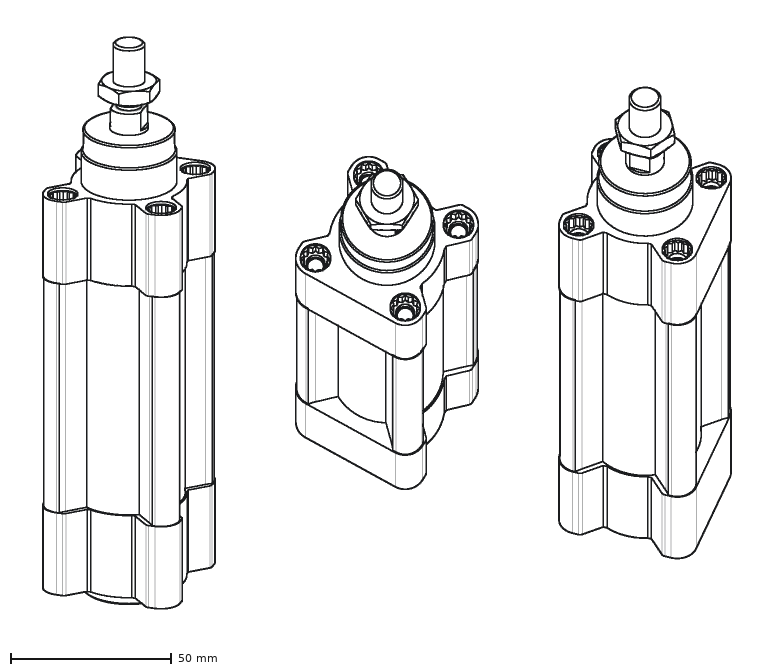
import cadquery as cq
import math

TOTAL_HEIGHT = 185.1
BOSS_HEIGHT = 3.9
CAP_LENGTH = 28.0
TUBE_LENGTH = 78.1
COLLAR_LENGTH = 10.7
NOSE_LENGTH = 7.4
REAR_CAP_TOP = BOSS_HEIGHT + CAP_LENGTH
TUBE_TOP = REAR_CAP_TOP + TUBE_LENGTH
FRONT_CAP_TOP = TUBE_TOP + CAP_LENGTH
COLLAR_TOP = FRONT_CAP_TOP + COLLAR_LENGTH
NOSE_TOP = COLLAR_TOP + NOSE_LENGTH

CAP_WIDTH = 45.0
CAP_CORE_RADIUS = 18.1
CAP_RECESS = 16.8
CAP_FLANK_OFFSET = 8.9
LOBE_EDGE_FILLET = 1.5
SCREW_SPACING = 32.5

TUBE_WIDTH = 44.5
TUBE_CORE_RADIUS = 17.5
TUBE_FLANK_START = 8.7
TUBE_FLANK_END = 13.9
TUBE_LOBE_EDGE = 15.4

BOSS_DIAMETER = 30.0
NOSE_DIAMETER = 28.9
NOSE_WAIST_DIAMETER = 28.5
EDGE_CHAMFER = 0.5

COUNTERBORE_DIAMETER = 9.5
COUNTERBORE_DEPTH = 1.0
SOCKET_TIP_DIAMETER = 8.9
SOCKET_ROOT_DIAMETER = 7.4
SOCKET_POINTS = 12
SOCKET_DEPTH = 5.0
THREAD_HOLE_DIAMETER = 6.0
THREAD_HOLE_DEPTH = 1.9
DRILL_DIAMETER = 5.0
DRILL_TIP_DEPTH = 1.3

ROD_DIAMETER = 12.0
ROD_SHOULDER = 163.6
ROD_CHAMFER = 0.4
ROD_TOP_DIAMETER = 9.0
WRENCH_WIDTH = 10.0
WRENCH_BOTTOM = 157.1
THREAD_DIAMETER = 10.0
THREAD_CHAMFER = 0.7
THREAD_RUNOUT_DIAMETER = 8.9
NECK_DIAMETER = 8.0
NECK_TOP = 165.0

NUT_WIDTH = 17.0
NUT_BOTTOM = 167.1
NUT_HEIGHT = 5.0
NUT_CHAMFER_ANGLE = 25.0


def cut_between_lobes(block, half_notch, sides):
    """Cut the gap between two lobes on each side; half_notch is its +X half on the -Y side."""
    notch = half_notch.union(half_notch.mirror("YZ"))
    for angle in sides:
        block = block.cut(notch.rotate((0, 0, 0), (0, 0, 1), angle))
    return block


def square_block(width, length):
    """Square block with corners rounded about the screw axes."""
    corner_radius = (width - SCREW_SPACING) / 2
    return cq.Workplane("XY").rect(width, width).extrude(length).edges("|Z").fillet(corner_radius)


def build_cap(bottom):
    half = CAP_WIDTH / 2
    flank_outer_x = half - CAP_FLANK_OFFSET
    half_notch = (
        cq.Workplane("XY")
        .polyline([
            (0, -half),
            (flank_outer_x, -half),
            (CAP_RECESS - CAP_FLANK_OFFSET, -CAP_RECESS),
            (0, -CAP_RECESS),
        ])
        .close()
        .extrude(CAP_LENGTH)
    )
    block = cut_between_lobes(square_block(CAP_WIDTH, CAP_LENGTH), half_notch, (0, 90, -90))
    flank_edges = [
        (sign * x, y)
        for sign in (-1, 1)
        for x, y in ((flank_outer_x, -half), (half, -flank_outer_x), (half, flank_outer_x))
    ]
    for x, y in flank_edges:
        block = block.edges(cq.NearestToPointSelector((x, y, CAP_LENGTH / 2))).fillet(LOBE_EDGE_FILLET)
    core = cq.Workplane("XY").circle(CAP_CORE_RADIUS).extrude(CAP_LENGTH)
    return block.union(core).translate((0, 0, bottom))


def build_tube():
    half = TUBE_WIDTH / 2
    core_meeting_y = math.sqrt(TUBE_CORE_RADIUS**2 - TUBE_FLANK_START**2)
    flank_end_y = -core_meeting_y - (TUBE_FLANK_END - TUBE_FLANK_START)
    half_notch = (
        cq.Workplane("XY")
        .moveTo(0, -core_meeting_y)
        .lineTo(TUBE_FLANK_START, -core_meeting_y)
        .lineTo(TUBE_FLANK_END, flank_end_y)
        .tangentArcPoint((TUBE_LOBE_EDGE, -half), relative=False)
        .lineTo(0, -half)
        .close()
        .extrude(TUBE_LENGTH)
    )
    block = cut_between_lobes(square_block(TUBE_WIDTH, TUBE_LENGTH), half_notch, (0, 90, 180, -90))
    core = cq.Workplane("XY").circle(TUBE_CORE_RADIUS).extrude(TUBE_LENGTH)
    return block.union(core).translate((0, 0, REAR_CAP_TOP))


def build_rear_boss():
    boss = cq.Workplane("XY").circle(BOSS_DIAMETER / 2).extrude(BOSS_HEIGHT)
    return boss.faces("<Z").edges().chamfer(EDGE_CHAMFER)


def build_collar():
    """Collar with a slightly hollow nose on top, turned about the Z axis."""
    collar_radius = BOSS_DIAMETER / 2
    nose_radius = NOSE_DIAMETER / 2
    nose_edge = NOSE_TOP - EDGE_CHAMFER
    profile = (
        cq.Workplane("XZ")
        .moveTo(0, FRONT_CAP_TOP)
        .lineTo(collar_radius, FRONT_CAP_TOP)
        .lineTo(collar_radius, COLLAR_TOP - EDGE_CHAMFER)
        .lineTo(nose_radius, COLLAR_TOP)
        .threePointArc((NOSE_WAIST_DIAMETER / 2, (COLLAR_TOP + nose_edge) / 2), (nose_radius, nose_edge))
        .lineTo(nose_radius - EDGE_CHAMFER, NOSE_TOP)
        .lineTo(0, NOSE_TOP)
        .close()
    )
    return profile.revolve(360, (0, 0, 0), (0, 1, 0))


def socket_star():
    """Twelve-pointed socket outline, alternating between tips and roots."""
    points = []
    for i in range(2 * SOCKET_POINTS):
        radius = (SOCKET_TIP_DIAMETER if i % 2 == 0 else SOCKET_ROOT_DIAMETER) / 2
        angle = math.pi * i / SOCKET_POINTS
        points.append((radius * math.cos(angle), radius * math.sin(angle)))
    return points


def build_screw_recess():
    """Recess of one corner screw, from the counterbore to the drill tip, with the cap face at Z = 0."""
    counterbore = cq.Workplane("XY").circle(COUNTERBORE_DIAMETER / 2).extrude(-COUNTERBORE_DEPTH)
    socket = cq.Workplane("XY").polyline(socket_star()).close().extrude(-SOCKET_DEPTH)
    thread_bottom = -SOCKET_DEPTH - THREAD_HOLE_DEPTH
    thread_hole = cq.Workplane("XY").circle(THREAD_HOLE_DIAMETER / 2).extrude(thread_bottom)
    tip = cq.Solid.makeCone(
        DRILL_DIAMETER / 2, 0, DRILL_TIP_DEPTH, pnt=cq.Vector(0, 0, thread_bottom), dir=cq.Vector(0, 0, -1)
    )
    return counterbore.union(socket).union(thread_hole).union(cq.Workplane(tip))


def build_housing():
    housing = build_cap(BOSS_HEIGHT)
    for section in (build_tube(), build_cap(TUBE_TOP), build_rear_boss(), build_collar()):
        housing = housing.union(section)
    recess = build_screw_recess()
    for x in (-SCREW_SPACING / 2, SCREW_SPACING / 2):
        for y in (-SCREW_SPACING / 2, SCREW_SPACING / 2):
            housing = housing.cut(recess.translate((x, y, FRONT_CAP_TOP)))
    return housing


def build_rod():
    """Piston rod standing on the nose, with two wrench flats, a neck and a threaded end."""
    rod_radius = ROD_DIAMETER / 2
    neck_radius = NECK_DIAMETER / 2
    thread_radius = THREAD_DIAMETER / 2
    rod = (
        cq.Workplane("XZ")
        .moveTo(0, NOSE_TOP)
        .lineTo(rod_radius, NOSE_TOP)
        .lineTo(rod_radius, ROD_SHOULDER - ROD_CHAMFER)
        .lineTo(ROD_TOP_DIAMETER / 2, ROD_SHOULDER)
        .lineTo(neck_radius, ROD_SHOULDER)
        .lineTo(neck_radius, NECK_TOP)
        .lineTo(THREAD_RUNOUT_DIAMETER / 2, NECK_TOP)
        .lineTo(thread_radius, NUT_BOTTOM)
        .lineTo(thread_radius, TOTAL_HEIGHT - THREAD_CHAMFER)
        .lineTo(thread_radius - THREAD_CHAMFER, TOTAL_HEIGHT)
        .lineTo(0, TOTAL_HEIGHT)
        .close()
        .revolve(360, (0, 0, 0), (0, 1, 0))
    )
    flat_height = ROD_SHOULDER - WRENCH_BOTTOM
    for side in (-1, 1):
        cutter = cq.Workplane("XY").box(ROD_DIAMETER, ROD_DIAMETER, flat_height, centered=(True, True, False))
        rod = rod.cut(cutter.translate((side * (WRENCH_WIDTH + ROD_DIAMETER) / 2, 0, WRENCH_BOTTOM)))
    return rod


def build_nut():
    """Hexagonal nut with flats facing -X and +X and both ends chamfered at the corners."""
    corner_diameter = NUT_WIDTH / math.cos(math.pi / 6)
    corner_radius = corner_diameter / 2
    flat_radius = NUT_WIDTH / 2
    corner_drop = (corner_radius - flat_radius) * math.tan(math.radians(NUT_CHAMFER_ANGLE))
    hexagon = (
        cq.Workplane("XY")
        .polygon(6, corner_diameter)
        .extrude(NUT_HEIGHT)
        .rotate((0, 0, 0), (0, 0, 1), 30)
    )
    chamfered_disc = (
        cq.Workplane("XZ")
        .polyline([
            (0, 0),
            (flat_radius, 0),
            (corner_radius, corner_drop),
            (corner_radius, NUT_HEIGHT - corner_drop),
            (flat_radius, NUT_HEIGHT),
            (0, NUT_HEIGHT),
        ])
        .close()
        .revolve(360, (0, 0, 0), (0, 1, 0))
    )
    nut = hexagon.intersect(chamfered_disc)
    bore = cq.Workplane("XY").circle(THREAD_DIAMETER / 2).extrude(NUT_HEIGHT)
    return nut.cut(bore).translate((0, 0, NUT_BOTTOM))


housing = build_housing()
rod = build_rod()
nut = build_nut()

result = cq.Compound.makeCompound([housing.val(), rod.val(), nut.val()])